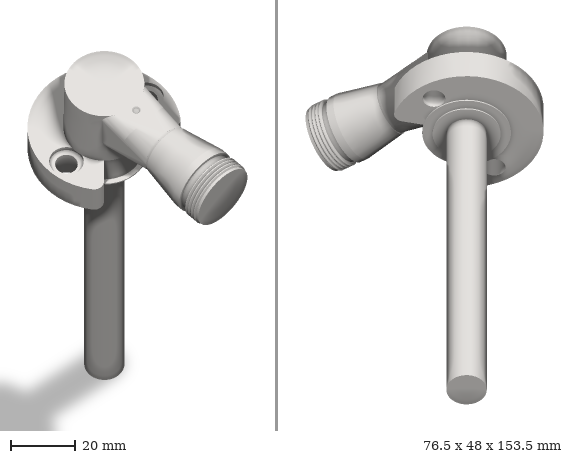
import cadquery as cq
import math

overall_height = 153.5
flange_top_z = 127.1
flange_thickness = 10.9
flange_bottom_z = flange_top_z - flange_thickness

flange_radius = 24.0
notch_angle = 90.0
notch_tip_fillet = 3.0
bolt_x = 0.9
bolt_y = 17.5
bolt_radius = 3.5
counterbore_radius = 5.4
counterbore_depth = 1.5

seat_radii = (13.8, 10.6)
seat_step = 0.5
tube_radius = 6.3

body_base_radius = 12.7
body_top_radius = 12.5

arm_start_x = 6.1
arm_start_half_width = 9.4
arm_start_corner_radius = 1.8
neck_start_x = 26.9
neck_radius = 8.3
neck_flat_width = 0.2

marker_x = 14.1
marker_radius = 1.4
marker_floor_radius = 0.9
marker_depth = 0.5

connector_end_x = 52.5
connector_radius = 11.2
connector_z = overall_height - connector_radius
cone_start_x = 27.6
cone_start_radius = 8.6
cone_end_x = 41.9
collar_end_x = 44.5
relief_radius = 10.1
thread_start_x = 46.7
thread_root_radius = 10.5
thread_turns = 4
thread_pitch = 1.2
thread_crest_width = 0.3
end_land_radius = 10.7

body_top_z = connector_z + neck_radius


def make_flange():
    """Round plate with a V notch on the +X side and two counterbored holes."""
    base = cq.Workplane("XY", origin=(0, 0, flange_bottom_z))
    plate = base.circle(flange_radius).extrude(flange_thickness)
    reach = 2 * flange_radius
    half_opening = reach * math.tan(math.radians(notch_angle / 2))
    notch = (
        base.polyline([(0, 0), (reach, -half_opening), (reach, half_opening)])
        .close()
        .extrude(flange_thickness)
    )
    tip_x = flange_radius * math.cos(math.radians(notch_angle / 2))
    tip_edges = cq.selectors.BoxSelector(
        (tip_x - notch_tip_fillet, -flange_radius, flange_bottom_z),
        (tip_x + notch_tip_fillet, flange_radius, flange_top_z),
    )
    plate = plate.cut(notch).edges("|Z").edges(tip_edges).fillet(notch_tip_fillet)
    return (
        plate.faces(">Z")
        .workplane(origin=(0, 0, flange_top_z))
        .pushPoints([(bolt_x, bolt_y), (bolt_x, -bolt_y)])
        .cboreHole(2 * bolt_radius, 2 * counterbore_radius, counterbore_depth)
    )


def make_upright():
    """Tube, seat steps, flange core and tapered body as one turned profile."""
    outer_seat_radius, inner_seat_radius = seat_radii
    outer_seat_z = flange_bottom_z - seat_step
    inner_seat_z = outer_seat_z - seat_step
    core_radius = bolt_y - counterbore_radius
    profile = [
        (0, 0),
        (tube_radius, 0),
        (tube_radius, inner_seat_z),
        (inner_seat_radius, inner_seat_z),
        (inner_seat_radius, outer_seat_z),
        (outer_seat_radius, outer_seat_z),
        (outer_seat_radius, flange_bottom_z),
        (core_radius, flange_bottom_z),
        (core_radius, flange_top_z),
        (body_base_radius, flange_top_z),
        (body_top_radius, body_top_z),
        (0, body_top_z),
    ]
    return cq.Workplane("XZ").polyline(profile).close().revolve(360, (0, 0), (0, 1))


def make_arm():
    """Ruled blend from a rounded square inside the body to the round neck."""
    start = cq.Sketch().rect(2 * arm_start_half_width, 2 * neck_radius)
    start = start.vertices().fillet(arm_start_corner_radius)
    end = cq.Sketch().rect(2 * neck_radius, 2 * neck_radius)
    end = end.vertices().fillet(neck_radius - neck_flat_width / 2)
    arm_length = neck_start_x - arm_start_x
    return (
        cq.Workplane("YZ", origin=(arm_start_x, 0, connector_z))
        .placeSketch(start, end.moved(cq.Location(cq.Vector(0, 0, arm_length))))
        .loft(ruled=True)
    )


def make_connector():
    """Neck, cone, collar, relief and ring-shaped threads turned about the arm axis."""
    profile = [
        (neck_start_x, 0),
        (neck_start_x, neck_radius),
        (cone_start_x, neck_radius),
        (cone_start_x, cone_start_radius),
        (cone_end_x, connector_radius),
        (collar_end_x, connector_radius),
        (collar_end_x, relief_radius),
        (thread_start_x, relief_radius),
    ]
    for turn in range(thread_turns):
        root_x = thread_start_x + turn * thread_pitch
        crest_x = root_x + (thread_pitch - thread_crest_width) / 2
        profile.append((root_x, thread_root_radius))
        profile.append((crest_x, connector_radius))
        profile.append((crest_x + thread_crest_width, connector_radius))
    thread_end_x = thread_start_x + thread_turns * thread_pitch
    profile.append((thread_end_x, thread_root_radius))
    profile.append((thread_end_x, end_land_radius))
    profile.append((connector_end_x, end_land_radius))
    profile.append((connector_end_x, 0))
    return (
        cq.Workplane("XZ", origin=(0, 0, connector_z))
        .polyline(profile)
        .close()
        .revolve(360, (0, 0), (1, 0))
    )


def make_marker():
    """Shallow conical recess with a flat floor in the flat top of the arm."""
    return (
        cq.Workplane("XY", origin=(marker_x, 0, body_top_z))
        .circle(marker_radius)
        .workplane(offset=-marker_depth)
        .circle(marker_floor_radius)
        .loft()
    )


result = (
    make_upright()
    .union(make_flange())
    .union(make_arm())
    .union(make_connector())
    .cut(make_marker())
)